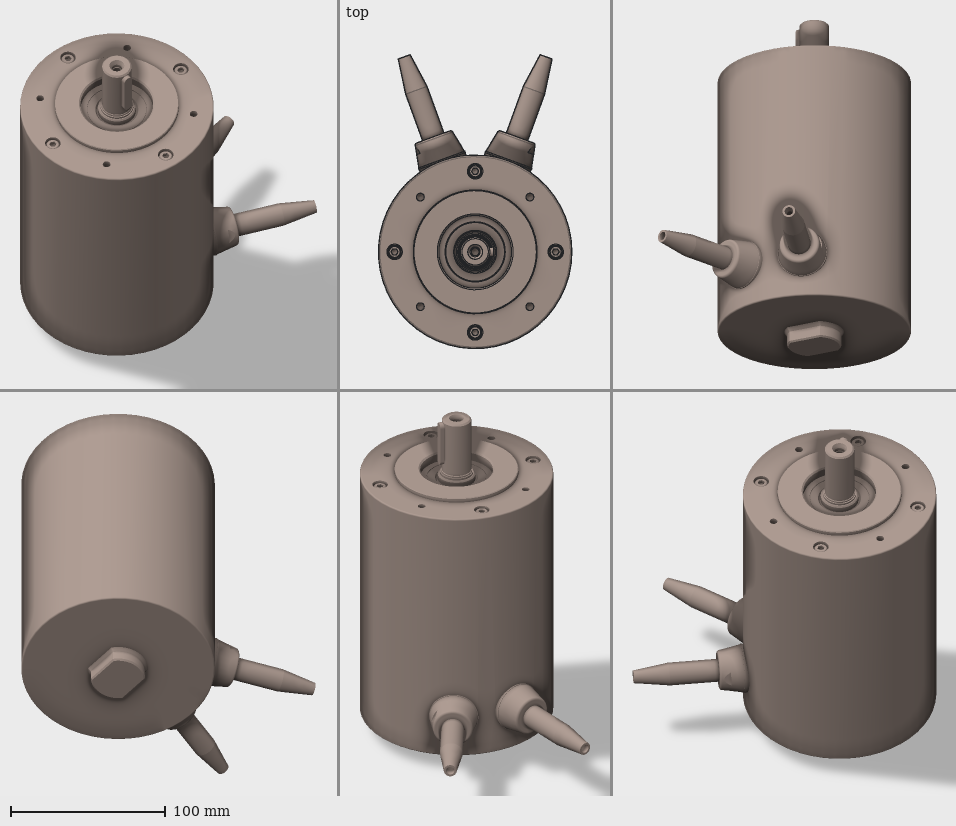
import cadquery as cq
import math


body_dia = 125.0
body_length = 175.0
body_fillet = 1.0

pilot_dia = 80.0
pilot_height = 3.0
pilot_chamfer = 0.5

recess_dia = 47.0
recess_depth = 6.5
recess_chamfer = 1.0
seal_groove_dia = 38.4
seal_groove_width = 0.5
seal_groove_depth = 0.5
clearance_dia = 27.8
clearance_depth = 1.2
clearance_floor_dia = 26.2

shaft_dia = 19.0
shaft_length = 40.0
shaft_chamfer = 1.0
seat_dia = 20.0
seat_top = 2.5
seat_chamfer = 0.4
shoulder_dia = 21.4
shoulder_top = 1.2
collar_dia = 24.4
collar_height = 3.3
collar_chamfer = 0.9

centre_mouth_dia = 9.6
centre_relief_dia = 6.4
centre_relief_depth = 5.0
centre_bore_dia = 5.0
centre_bore_depth = 16.0
centre_cone_angle = 60.0

key_width = 6.0
key_length = 30.5
key_end_gap = 1.5
key_outer_x = 12.0
key_height = 6.0

drill_tip_angle = 118.0

screw_circle_dia = 104.0
screw_count = 4
screw_pocket_dia = 10.0
screw_pocket_depth = 6.0
screw_head_dia = 8.5
screw_head_height = 5.0
screw_head_chamfer = 0.7
screw_socket_flats = 4.0
screw_socket_depth = 2.5
mount_circle_dia = 100.0
mount_hole_count = 4
mount_start_angle = 45.0
mount_hole_dia = 5.0
mount_hole_depth = 12.0

boss_dia = 35.0
boss_height = 10.0
boss_across_flats = 27.0
boss_flare_height = 2.5
boss_flare_width = 1.8
boss_chamfer = 1.0

outlet_angle = 20.0
outlet_z = -145.8
spigot_dia = 31.6
spigot_start = 50.0
spigot_end = 63.4
spigot_lip_dia = 32.0
spigot_lip_width = 1.0
gland_end = 79.0
gland_base_dia = 31.4
gland_taper = 11.0
gland_fillet = 1.6
gland_flat_start = 71.9
gland_flat_offset = 13.2
left_gland_flat_tilt = 14.0
right_gland_flat_tilt = 24.0
cable_dia = 14.8
cable_taper_start = 111.0
cable_end = 134.0
cable_end_dia = 8.3
cable_bore_dia = 5.5
cable_bore_depth = 20.0

recess_floor = pilot_height - recess_depth


def cylinder(dia, bottom, top):
    return cq.Workplane("XY").workplane(offset=bottom).circle(dia / 2).extrude(top - bottom)


def ring(outer_dia, inner_dia, bottom, top):
    return cylinder(outer_dia, bottom, top).cut(cylinder(inner_dia, bottom, top))


def drill_tip(dia, top):
    """Conical bottom left by a drill, pointing down from the given height."""
    radius = dia / 2
    depth = radius / math.tan(math.radians(drill_tip_angle / 2))
    cone = cq.Solid.makeCone(radius, 0, depth, cq.Vector(0, 0, top), cq.Vector(0, 0, -1))
    return cq.Workplane("XY").add(cone)


def make_housing():
    body = cylinder(body_dia, -body_length, 0).edges().fillet(body_fillet)
    pilot = cylinder(pilot_dia, 0, pilot_height).faces(">Z").chamfer(pilot_chamfer)
    recess = cylinder(recess_dia, recess_floor, pilot_height)
    mouth = (
        cq.Workplane("XY")
        .workplane(offset=pilot_height)
        .circle(recess_dia / 2 + recess_chamfer)
        .extrude(-recess_chamfer, taper=45)
    )
    seal_groove = ring(
        seal_groove_dia + seal_groove_width,
        seal_groove_dia - seal_groove_width,
        recess_floor - seal_groove_depth,
        recess_floor,
    )
    clearance_step = (clearance_dia - clearance_floor_dia) / 2
    clearance = (
        cq.Workplane("XY")
        .workplane(offset=recess_floor)
        .circle(clearance_dia / 2)
        .extrude(-clearance_depth, taper=math.degrees(math.atan(clearance_step / clearance_depth)))
    )
    return body.union(pilot).cut(recess).cut(mouth).cut(seal_groove).cut(clearance)


def make_centre_hole():
    """Stepped hole sunk into the shaft end, with a conical mouth and a drill-point bottom."""
    mouth_r = centre_mouth_dia / 2
    relief_r = centre_relief_dia / 2
    bore_r = centre_bore_dia / 2
    mouth_depth = (mouth_r - relief_r) / math.tan(math.radians(centre_cone_angle / 2))
    return (
        cq.Workplane("XZ")
        .moveTo(0, shaft_length)
        .lineTo(mouth_r, shaft_length)
        .lineTo(relief_r, shaft_length - mouth_depth)
        .lineTo(relief_r, shaft_length - centre_relief_depth)
        .lineTo(bore_r, shaft_length - centre_relief_depth)
        .lineTo(bore_r, shaft_length - centre_bore_depth)
        .lineTo(0, shaft_length - centre_bore_depth)
        .close()
        .revolve(360, (0, 0, 0), (0, 1, 0))
        .union(drill_tip(centre_bore_dia, shaft_length - centre_bore_depth))
    )


def make_key():
    centre_z = shaft_length - key_end_gap - key_length / 2
    return (
        cq.Workplane("YZ")
        .workplane(offset=key_outer_x - key_height)
        .center(0, centre_z)
        .slot2D(key_length, key_width, 90)
        .extrude(key_height)
    )


def make_shaft():
    root = recess_floor - clearance_depth
    collar = cylinder(collar_dia, root, recess_floor + collar_height).faces(">Z").chamfer(collar_chamfer)
    shoulder = cylinder(shoulder_dia, root, shoulder_top)
    seat = cylinder(seat_dia, root, seat_top).faces(">Z").chamfer(seat_chamfer)
    journal = cylinder(shaft_dia, root, shaft_length).faces(">Z").chamfer(shaft_chamfer)
    return collar.union(shoulder).union(seat).union(journal).cut(make_centre_hole()).union(make_key())


def make_screw_pocket():
    """Counterbore around a socket-head screw: the clearance ring, plus the room above the head."""
    floor = -screw_pocket_depth
    head = cylinder(screw_head_dia, floor, floor + screw_head_height).faces(">Z").chamfer(screw_head_chamfer)
    socket = (
        cq.Workplane("XY")
        .workplane(offset=floor + screw_head_height)
        .polygon(6, screw_socket_flats / math.cos(math.pi / 6))
        .extrude(-screw_socket_depth)
    )
    socket_floor = floor + screw_head_height - screw_socket_depth
    socket = socket.union(drill_tip(screw_socket_flats, socket_floor))
    return cylinder(screw_pocket_dia, floor, 0).cut(head).union(socket)


def places_on_circle(dia, count, start_angle):
    """Points evenly spaced on a circle about the motor axis, in the flange plane."""
    angles = [math.radians(start_angle + i * 360 / count) for i in range(count)]
    return [(dia / 2 * math.cos(a), dia / 2 * math.sin(a), 0) for a in angles]


def cut_flange_holes(motor):
    pocket = make_screw_pocket()
    for place in places_on_circle(screw_circle_dia, screw_count, 0):
        motor = motor.cut(pocket.translate(place))
    hole = cylinder(mount_hole_dia, -mount_hole_depth, 0).union(drill_tip(mount_hole_dia, -mount_hole_depth))
    for place in places_on_circle(mount_circle_dia, mount_hole_count, mount_start_angle):
        motor = motor.cut(hole.translate(place))
    return motor


def make_rear_boss():
    flat_y = boss_across_flats / 2
    flat_x = math.sqrt((boss_dia / 2) ** 2 - flat_y**2)

    def outline(z):
        return (
            cq.Workplane("XY")
            .workplane(offset=z)
            .moveTo(-flat_x, -flat_y)
            .lineTo(flat_x, -flat_y)
            .threePointArc((boss_dia / 2, 0), (flat_x, flat_y))
            .lineTo(-flat_x, flat_y)
            .threePointArc((-boss_dia / 2, 0), (-flat_x, -flat_y))
            .close()
        )

    boss = outline(-body_length - boss_height).extrude(boss_height).faces("<Z").chamfer(boss_chamfer)
    flare_taper = math.degrees(math.atan(boss_flare_width / boss_flare_height))
    flare = outline(-body_length - boss_flare_height).extrude(boss_flare_height, taper=-flare_taper)
    return boss.union(flare)


def make_outlet(side, flat_tilt):
    """Cable outlet turned about +Y, then swung towards +X (side = 1) or -X (side = -1).

    The gland has one flat on its outer side, tilted up by flat_tilt degrees.
    """
    gland_end_r = gland_base_dia / 2 - (gland_end - spigot_end) * math.tan(math.radians(gland_taper))
    gland = (
        cq.Workplane("XY")
        .moveTo(0, spigot_end)
        .lineTo(gland_base_dia / 2, spigot_end)
        .lineTo(gland_end_r, gland_end)
        .lineTo(0, gland_end)
        .close()
        .revolve(360, (0, 0, 0), (0, 1, 0))
        .faces(">Y")
        .edges()
        .fillet(gland_fillet)
    )
    flat_length = gland_end - gland_flat_start
    flat_cut = (
        cq.Workplane("XY")
        .box(gland_base_dia, flat_length, gland_base_dia, centered=(False, False, True))
        .translate((gland_flat_offset, gland_flat_start, 0))
        .rotate((0, 0, 0), (0, 1, 0), -flat_tilt)
    )
    stem = (
        cq.Workplane("XY")
        .moveTo(0, spigot_start)
        .lineTo(spigot_dia / 2, spigot_start)
        .lineTo(spigot_dia / 2, spigot_end - spigot_lip_width)
        .lineTo(spigot_lip_dia / 2, spigot_end - spigot_lip_width)
        .lineTo(spigot_lip_dia / 2, spigot_end)
        .lineTo(cable_dia / 2, spigot_end)
        .lineTo(cable_dia / 2, cable_taper_start)
        .lineTo(cable_end_dia / 2, cable_end)
        .lineTo(0, cable_end)
        .close()
        .revolve(360, (0, 0, 0), (0, 1, 0))
    )
    cable_bore = (
        cq.Workplane("XZ")
        .workplane(offset=-cable_end)
        .circle(cable_bore_dia / 2)
        .extrude(cable_bore_depth)
    )
    outlet = gland.cut(flat_cut).union(stem).cut(cable_bore)
    if side < 0:
        outlet = outlet.mirror("YZ")
    return outlet.rotate((0, 0, 0), (0, 0, 1), -side * outlet_angle).translate((0, 0, outlet_z))


motor = cut_flange_holes(make_housing())
motor = motor.union(make_shaft()).union(make_rear_boss())
motor = motor.union(make_outlet(-1, left_gland_flat_tilt))
motor = motor.union(make_outlet(1, right_gland_flat_tilt))

result = motor